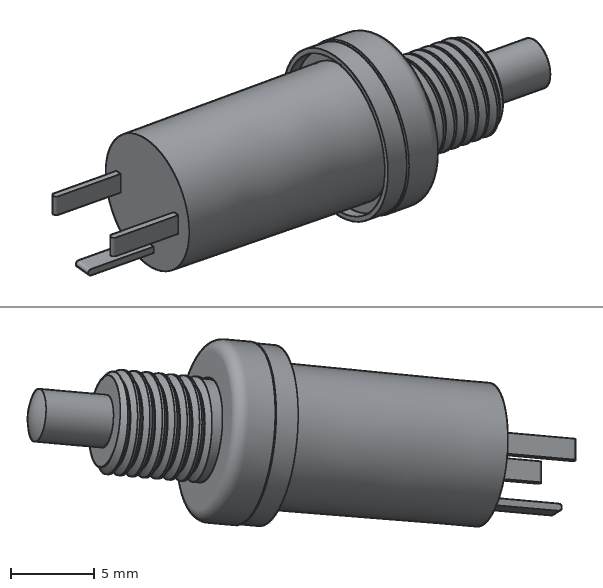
import cadquery as cq
import math


overall_length = 33.76

plunger_dia = 3.2
plunger_exposed_length = 4.7
plunger_dome_height = 0.38

bushing_dia = 6.35
bushing_length = 6.4
bushing_end_chamfer = 0.4

thread_pitch = 25.4 / 32
thread_depth = 0.43
thread_root_flat = 0.06
thread_crest_flat = 0.16
thread_runout = 0.34
thread_runout_angle = 120.0

flange_dia = 11.1
flange_thickness = 2.6
flange_fillet = 0.75
flange_rear_chamfer = 0.1

ring_dia = 10.95
ring_thickness = 1.4
ring_recess_dia = 10.28
ring_recess_depth = 0.7

body_front_dia = 8.95
body_rear_dia = 8.7
body_exposed_length = 13.85

terminal_thickness = 0.45
terminal_width = 1.3
terminal_offset = 3.0
terminal_end_radius = 0.22
terminal_angles = (0, 180, 270)

plunger_tip_y = bushing_length + plunger_exposed_length
flange_rear_y = -flange_thickness
ring_rear_y = flange_rear_y - ring_thickness
recess_floor_y = ring_rear_y + ring_recess_depth
body_rear_y = ring_rear_y - body_exposed_length
terminal_end_y = plunger_tip_y - overall_length


def cylinder(diameter, start_y, end_y):
    """A cylinder on the Y axis between two stations."""
    base = cq.Workplane("XZ", origin=(0, start_y, 0))
    return base.circle(diameter / 2).extrude(start_y - end_y)


def make_thread_cutter():
    """The helical V groove of the right-handed external thread."""
    root_radius = bushing_dia / 2 - thread_depth
    overshoot = 0.05
    flank_rise = (thread_pitch - thread_crest_flat - thread_root_flat) / 2
    half_root = thread_root_flat / 2
    half_mouth = half_root + flank_rise * (thread_depth + overshoot) / thread_depth
    mouth_radius = root_radius + thread_depth + overshoot
    helix_length = bushing_length - thread_runout + thread_pitch
    helix = cq.Wire.makeHelix(thread_pitch, helix_length, root_radius)
    profile = (
        cq.Workplane("XZ")
        .moveTo(root_radius, -half_root)
        .lineTo(mouth_radius, -half_mouth)
        .lineTo(mouth_radius, half_mouth)
        .lineTo(root_radius, half_root)
        .close()
    )
    groove = profile.sweep(cq.Workplane(helix), isFrenet=True)
    groove = groove.rotate((0, 0, 0), (1, 0, 0), -90)
    groove = groove.rotate((0, 0, 0), (0, 1, 0), -thread_runout_angle)
    return groove.translate((0, thread_runout, 0))


def make_housing():
    """Threaded bushing and round flange, bored through for the plunger."""
    blank = cylinder(bushing_dia, 0, bushing_length)
    threaded = blank.cut(make_thread_cutter())
    bushing = threaded.intersect(blank.faces(">Y").chamfer(bushing_end_chamfer))
    flange = cylinder(flange_dia, flange_rear_y, 0)
    flange = flange.faces(">Y").edges().fillet(flange_fillet)
    flange = flange.faces("<Y").edges().chamfer(flange_rear_chamfer)
    bore = cylinder(plunger_dia, flange_rear_y, bushing_length)
    return bushing.union(flange).cut(bore)


def make_plunger():
    """Round plunger with a shallow domed tip, reaching through the housing to the body."""
    radius = plunger_dia / 2
    shoulder_y = plunger_tip_y - plunger_dome_height
    dome_radius = (radius**2 + plunger_dome_height**2) / (2 * plunger_dome_height)
    mid_angle = math.asin(radius / dome_radius) / 2
    mid_x = dome_radius * math.sin(mid_angle)
    mid_y = plunger_tip_y - dome_radius * (1 - math.cos(mid_angle))
    return (
        cq.Workplane("XY")
        .moveTo(0, flange_rear_y)
        .lineTo(radius, flange_rear_y)
        .lineTo(radius, shoulder_y)
        .threePointArc((mid_x, mid_y), (0, plunger_tip_y))
        .close()
        .revolve(360, (0, 0), (0, 1))
    )


def make_body():
    """Tapered body. It is straight in the ring's bore and tapers from the recess floor to its rear face."""
    front_radius = body_front_dia / 2
    return (
        cq.Workplane("XY")
        .moveTo(0, flange_rear_y)
        .lineTo(front_radius, flange_rear_y)
        .lineTo(front_radius, recess_floor_y)
        .lineTo(body_rear_dia / 2, body_rear_y)
        .lineTo(0, body_rear_y)
        .close()
        .revolve(360, (0, 0), (0, 1))
    )


def make_ring():
    """Ring around the front of the body, with a shallow recess in its rear face."""
    ring = cylinder(ring_dia, ring_rear_y, flange_rear_y)
    bore = cylinder(body_front_dia, ring_rear_y, flange_rear_y)
    recess = cylinder(ring_recess_dia, ring_rear_y, recess_floor_y)
    return ring.cut(bore).cut(recess)


def make_terminal(angle):
    """Flat blade with a rounded end, standing on the body's rear face."""
    length = body_rear_y - terminal_end_y
    blade = cq.Workplane("XY").box(terminal_thickness, length, terminal_width)
    blade = blade.faces("<Y").edges("|Z").fillet(terminal_end_radius)
    blade = blade.translate((terminal_offset, body_rear_y - length / 2, 0))
    return blade.rotate((0, 0, 0), (0, 1, 0), -angle)


housing = make_housing()
plunger = make_plunger()
body = make_body()
ring = make_ring()
terminals = [make_terminal(angle) for angle in terminal_angles]

result = cq.Compound.makeCompound(
    [
        housing.val(),
        plunger.val(),
        body.val(),
        ring.val(),
        *[terminal.val() for terminal in terminals],
    ]
)